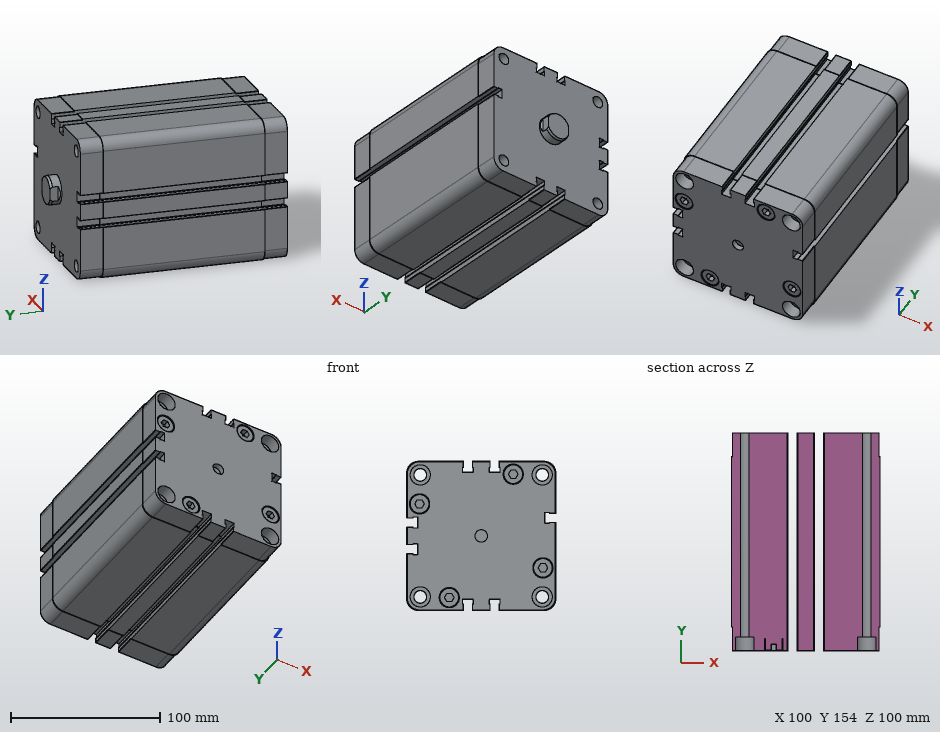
import cadquery as cq
import math

body_width = 100.0
cap_step = 0.5
cap_width = body_width - 2 * cap_step
cap_length = 16.0
body_length = 114.0
rear_face = 2 * cap_length + body_length
total_length = 154.0
corner_radius = 8.0

slot_offset = 9.0
slot_mouth = 6.0
slot_inner = 7.1
slot_lip = 4.3
slot_mouth_chamfer = 0.3
body_slot_depth = 7.2
cap_slot_depth = 7.7
single_slot_offset = 12.0

mount_offset = 40.8
mount_diameter = 8.3
mount_bore_diameter = 13.5
mount_bore_depth = 9.2

screw_near = 21.4
screw_far = 41.3
screw_bore_diameter = 13.5
screw_bore_depth = 8.0
screw_head_diameter = 12.5
screw_head_recess = 0.5
hex_across_flats = 5.5
hex_depth = 4.0
hex_across_corners = hex_across_flats / math.cos(math.radians(30))

port_diameter = 8.3
port_depth = 4.0

rod_diameter = 20.0
rod_across_flats = 17.2
flat_end_gap = 2.3
tip_taper_length = 1.8
tip_taper_inset = 0.6


def prism(width, start, length):
    """Square block with rounded long corners, from Y = start towards +Y."""
    block = cq.Workplane("XY").box(width, length, width, centered=(True, False, True))
    return block.edges("|Y").fillet(corner_radius).translate((0, start, 0))


def cylinder(x, z, diameter, start, length):
    """Round bar parallel to Y, from Y = start towards +Y."""
    base = cq.Workplane(cq.Plane((x, start, z), (1, 0, 0), (0, 1, 0)))
    return base.circle(diameter / 2).extrude(length)


def bar(width, start, length, bottom, top):
    """Rectangular bar along Y, centred on X = 0, between two heights."""
    block = cq.Workplane("XY").box(width, length, top - bottom, centered=(True, False, False))
    return block.translate((0, start, bottom))


def mouth_bevel(width, start, length):
    """Triangular cutter that breaks both edges of a slot mouth in a block of the given width."""
    top = width / 2
    half_width = slot_mouth / 2 + slot_mouth_chamfer
    return (
        cq.Workplane(cq.Plane((0, start, top), (1, 0, 0), (0, 1, 0)))
        .polyline([(-half_width, 0), (half_width, 0), (0, half_width)])
        .close()
        .extrude(length)
    )


def slot_cutter(offset, bevel_body):
    """Undercut slot in the top side at X = offset, a little deeper and bevelled in the end caps."""
    top = body_width / 2
    lip_bottom = top - slot_lip
    cutter = bar(slot_mouth, 0, rear_face, lip_bottom, top)
    cutter = cutter.union(bar(slot_inner, 0, rear_face, top - body_slot_depth, lip_bottom))
    for cap_start in (0, cap_length + body_length):
        cutter = cutter.union(bar(slot_inner, cap_start, cap_length, top - cap_slot_depth, lip_bottom))
        cutter = cutter.union(mouth_bevel(cap_width, cap_start, cap_length))
    if bevel_body:
        cutter = cutter.union(mouth_bevel(body_width, cap_length, body_length))
    return cutter.translate((offset, 0, 0))


def turned(shape, angle):
    """Turn a shape about the Y axis."""
    return shape.rotate((0, 0, 0), (0, 1, 0), angle)


def piston_rod():
    """Rod stub at the rear face with two flats that run out at 45 degrees."""
    rod = cylinder(0, 0, rod_diameter, rear_face, total_length - rear_face)
    rod = rod.faces(">Y").chamfer(tip_taper_length, tip_taper_inset)
    flat_x = rod_across_flats / 2
    flat_start = rear_face + flat_end_gap
    runout = (rod_diameter - rod_across_flats) / 2
    outer_x = flat_x + runout
    flat = (
        cq.Workplane("XY", origin=(0, 0, -rod_diameter / 2))
        .moveTo(flat_x, total_length)
        .lineTo(flat_x, flat_start)
        .lineTo(outer_x, flat_start - runout)
        .lineTo(outer_x, total_length)
        .close()
        .extrude(rod_diameter)
    )
    return rod.cut(flat).cut(flat.mirror("YZ"))


def screw_head(x, z):
    """Cylindrical screw head with a hexagon socket, resting on the counterbore floor."""
    head_length = screw_bore_depth - screw_head_recess
    head = cylinder(x, z, screw_head_diameter, screw_head_recess, head_length)
    socket = (
        cq.Workplane(cq.Plane((x, screw_head_recess, z), (1, 0, 0), (0, 1, 0)))
        .polygon(6, hex_across_corners)
        .extrude(hex_depth)
    )
    return head.cut(socket)


result = (
    prism(body_width, cap_length, body_length)
    .union(prism(cap_width, 0, cap_length))
    .union(prism(cap_width, cap_length + body_length, cap_length))
)

top_side, right_side, bottom_side, left_side = 0, 90, 180, -90
for side in (top_side, bottom_side, left_side):
    for offset in (-slot_offset, slot_offset):
        result = result.cut(turned(slot_cutter(offset, side == left_side), side))
result = result.cut(turned(slot_cutter(-single_slot_offset, False), right_side))

for x in (-mount_offset, mount_offset):
    for z in (-mount_offset, mount_offset):
        result = result.cut(cylinder(x, z, mount_diameter, 0, rear_face))
        result = result.cut(cylinder(x, z, mount_bore_diameter, 0, mount_bore_depth))

for quarter in range(4):
    angle = math.radians(90 * quarter)
    x = screw_near * math.cos(angle) - screw_far * math.sin(angle)
    z = screw_near * math.sin(angle) + screw_far * math.cos(angle)
    result = result.cut(cylinder(x, z, screw_bore_diameter, 0, screw_bore_depth))
    result = result.union(screw_head(x, z))

result = result.cut(cylinder(0, 0, port_diameter, 0, port_depth))
result = result.union(piston_rod())